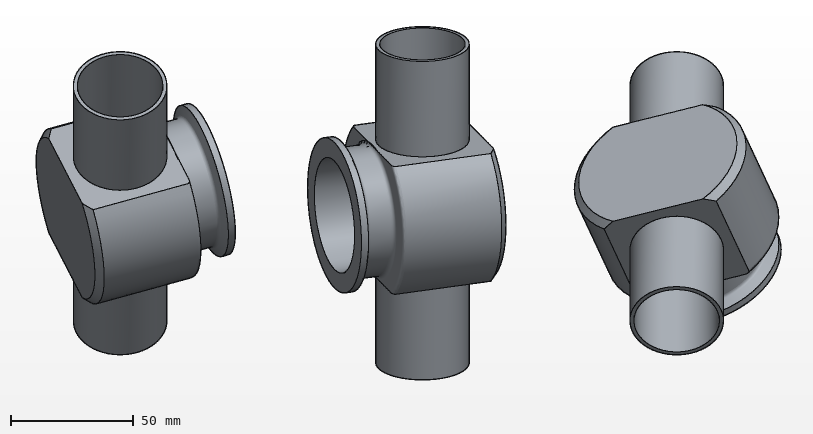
import cadquery as cq

TUBE_LENGTH = 139.7
TUBE_DIAMETER = 38.1
TUBE_BORE = 34.8

BODY_DIAMETER = 73.9
BODY_DEPTH = 45.4
BODY_HEIGHT = 56.0
BODY_FRONT_Y = -23.7
FRONT_CHAMFER = 3.0
BACK_ROUND = 1.4

OVERALL_DEPTH = 61.9
NECK_DIAMETER = 54.0
NECK_BASE_ROUND = 1.5
FLANGE_DIAMETER = 63.8
FLANGE_RIM = 3.1
FLANGE_TAPER = 2.0
FLANGE_ROUND = 1.4
PORT_BORE = 47.5

SELECT_MARGIN = 0.1

body_back_y = BODY_FRONT_Y + BODY_DEPTH
port_face_y = BODY_FRONT_Y + OVERALL_DEPTH


def revolve_about_y(profile):
    return profile.close().revolve(360, (0, 0, 0), (0, 1, 0))


def cylinder_along_y(diameter, start_y, end_y):
    plane = cq.Workplane("XZ", origin=(0, start_y, 0))
    return plane.circle(diameter / 2).extrude(start_y - end_y)


def make_body_and_port():
    """Round body, neck and flange, turned about Y; the body is then cut flat at top and bottom."""
    body = cylinder_along_y(BODY_DIAMETER, BODY_FRONT_Y, body_back_y)
    body = body.faces("<Y").edges().chamfer(FRONT_CHAMFER)
    body = body.faces(">Y").edges().fillet(BACK_ROUND)

    neck_radius = NECK_DIAMETER / 2
    flange_radius = FLANGE_DIAMETER / 2
    rim_y = port_face_y - FLANGE_RIM
    neck_end_y = rim_y - FLANGE_TAPER
    port = revolve_about_y(
        cq.Workplane("XY")
        .moveTo(0, body_back_y)
        .lineTo(neck_radius, body_back_y)
        .lineTo(neck_radius, neck_end_y)
        .lineTo(flange_radius, rim_y)
        .lineTo(flange_radius, port_face_y)
        .lineTo(0, port_face_y)
    )
    neck_top = cq.selectors.BoxSelector(
        (-NECK_DIAMETER, neck_end_y - SELECT_MARGIN, -NECK_DIAMETER),
        (NECK_DIAMETER, neck_end_y + SELECT_MARGIN, NECK_DIAMETER),
    )
    port = port.edges(neck_top).fillet(FLANGE_ROUND)

    base_round = revolve_about_y(
        cq.Workplane("XY")
        .moveTo(0, body_back_y)
        .lineTo(neck_radius + NECK_BASE_ROUND, body_back_y)
        .radiusArc((neck_radius, body_back_y + NECK_BASE_ROUND), NECK_BASE_ROUND)
        .lineTo(0, body_back_y + NECK_BASE_ROUND)
    )

    flats = cq.Workplane("XY").box(BODY_DIAMETER, 2 * OVERALL_DEPTH, BODY_HEIGHT)
    return body.intersect(flats).union(port).union(base_round)


def cylinder_along_z(diameter):
    return cq.Workplane("XY").circle(diameter / 2).extrude(TUBE_LENGTH / 2, both=True)


result = make_body_and_port().union(cylinder_along_z(TUBE_DIAMETER))
result = result.cut(cylinder_along_z(TUBE_BORE))
result = result.cut(cylinder_along_y(PORT_BORE, 0, port_face_y))